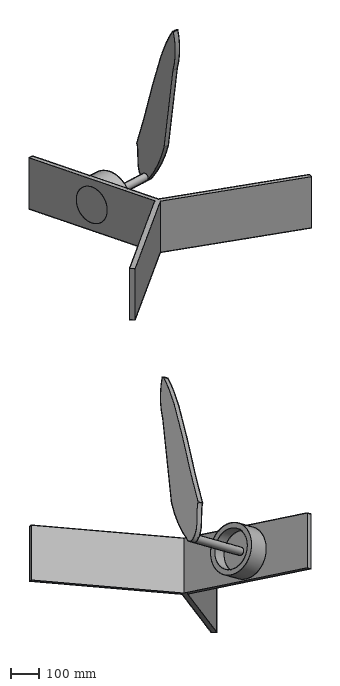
import cadquery as cq
import math

SPAN = 1010.0
ARM_ANGLE = 30.0
WALL = 20.0
FRAME_HEIGHT = 200.0
ARM_LENGTH = (SPAN / 2 - WALL / 2 * math.sin(math.radians(ARM_ANGLE))) / math.cos(math.radians(ARM_ANGLE))
ARM_COUNT = 3
HOUSED_ARM_DIRECTION = 180.0 + ARM_ANGLE

AXIS_DISTANCE = 292.0
AXIS_HEIGHT = FRAME_HEIGHT / 2
HOUSING_DIAMETER = 190.0
HOUSING_LENGTH = 80.0
BORE_DIAMETER = 150.0
BORE_DEPTH = 50.0
SPIGOT_DIAMETER = 140.0

ROD_DIAMETER = 30.0
ROD_RADIUS = ROD_DIAMETER / 2
BLADE_OFFSET = 288.0
BLADE_THICKNESS = 25.0
TOTAL_HEIGHT = 703.0
BLADE_TIP = TOTAL_HEIGHT - AXIS_HEIGHT

OUTER_FACE = -WALL / 2
INNER_FACE = WALL / 2
HOUSING_RIM = INNER_FACE + HOUSING_LENGTH
BORE_FLOOR = HOUSING_RIM - BORE_DEPTH


def axis_plane(offset):
    """Plane square to the rod axis: local x runs along the arm towards the hub, local y is up."""
    angle = math.radians(ARM_ANGLE)
    along = cq.Vector(math.cos(angle), math.sin(angle), 0)
    inward = cq.Vector(-math.sin(angle), math.cos(angle), 0)
    origin = along * -AXIS_DISTANCE + inward * offset + cq.Vector(0, 0, AXIS_HEIGHT)
    return cq.Plane(origin=origin, xDir=along, normal=inward * -1)


def cylinder(diameter, start, end):
    """Cylinder on the rod axis between two offsets from the arm's middle plane."""
    return cq.Workplane(axis_plane(end)).circle(diameter / 2).extrude(end - start)


def make_frame():
    frame = cq.Workplane("XY")
    for index in range(ARM_COUNT):
        arm = cq.Workplane("XY").box(ARM_LENGTH, WALL, FRAME_HEIGHT, centered=(False, True, False))
        direction = HOUSED_ARM_DIRECTION + index * 360 / ARM_COUNT
        frame = frame.union(arm.rotate((0, 0, 0), (0, 0, 1), direction))
    return frame.cut(cylinder(SPIGOT_DIAMETER, OUTER_FACE, INNER_FACE))


def make_housing():
    cup = cylinder(HOUSING_DIAMETER, INNER_FACE, HOUSING_RIM)
    bore = cylinder(BORE_DIAMETER, BORE_FLOOR, HOUSING_RIM)
    spigot = cylinder(SPIGOT_DIAMETER, OUTER_FACE, INNER_FACE)
    return cup.union(spigot).cut(bore)


def make_blade():
    """Tapered blade with a rounded root around the rod, and the rod standing on the bore floor."""
    blade = (
        cq.Workplane(axis_plane(BLADE_OFFSET + BLADE_THICKNESS))
        .moveTo(-37.0, 122.0)
        .spline([(16.0, 303.0), (61.0, 457.0), (88.0, 532.0), (124.0, BLADE_TIP)], includeCurrent=True)
        .lineTo(129.0, BLADE_TIP)
        .threePointArc((135.0, 571.0), (127.0, 452.0))
        .lineTo(87.0, 141.0)
        .threePointArc((56.0, 60.0), (10.0, -11.0))
        .spline([(-3.0, -ROD_RADIUS), (-16.0, -4.0), (-31.0, 40.0), (-37.0, 122.0)], includeCurrent=True)
        .close()
        .extrude(BLADE_THICKNESS)
    )
    return blade.union(cylinder(ROD_DIAMETER, BORE_FLOOR, BLADE_OFFSET))


frame = make_frame()
housing = make_housing()
blade = make_blade()

result = cq.Compound.makeCompound([frame.solids().val(), housing.solids().val(), blade.solids().val()])